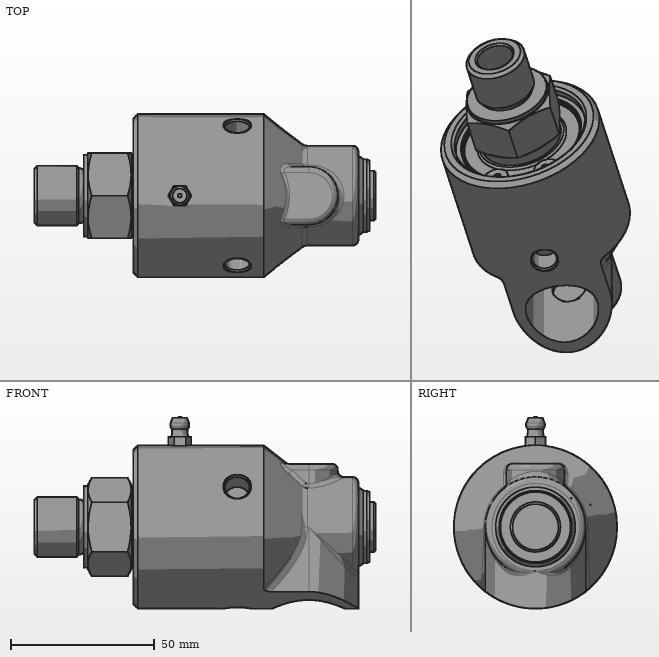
import cadquery as cq
import math

THREAD_RADIUS = 20.95 / 2
THREAD_END_X = 14.8
THREAD_CHAMFER = 1.2
RUNOUT_LENGTH = 0.8
RUNOUT_ANGLE = math.radians(45)
NECK_BLEND_RADIUS = 2.2
COLLAR_RADIUS = 28.6 / 2
COLLAR_START_X = 17.3
HEX_START_X = 18.7
HEX_END_X = 34.0
HEX_ACROSS_FLATS = 29.8
HEX_FACE_RADIUS = 14.6
HEX_CHAMFER_LENGTH = 1.4
BORE_RADIUS = 12.7 / 2
BORE_MOUTH_RADIUS = 13.89 / 2

BODY_RADIUS = 28.5
BODY_START_X = 34.5
BODY_CHAMFER = 1.7
CONE_START_X = 80.0
CONE_END_X = 94.1
TAIL_RADIUS = 17.45
CONE_SLOPE = (BODY_RADIUS - TAIL_RADIUS) / (CONE_END_X - CONE_START_X)
TAIL_END_X = 113.1
TAIL_ROUND = 2.2
CONE_BLEND_RADIUS = 3.2
EMBED_X = 71.0

PLUG_ROOT_RADIUS = 27.8 / 2
PLUG_RADIUS = 25.4 / 2
PLUG_NECK_X = 114.8
PLUG_RIM_RADIUS = 24.4 / 2
PLUG_RIM_X = 117.0
PLUG_CHAMFER_LENGTH = 1.1
TIP_RADIUS = 17.48 / 2
TIP_END_X = 119.16
TIP_CHAMFER = 0.75

RECESS_RADIUS = 23.4
RECESS_CHAMFER = 0.95
SEAL_BORE_RADIUS = 41.3 / 2
SEAL_BORE_CHAMFER = 0.4
RING_INNER_RADIUS = 21.65
RING_FRONT_X = 37.6
RING_THICKNESS = 0.8
RECESS_FLOOR_X = RING_FRONT_X + RING_THICKNESS
SEAL_FLOOR_X = RECESS_FLOOR_X + SEAL_BORE_CHAMFER
FLANGE_RADIUS = 32.1 / 2
FLANGE_FACE_RADIUS = 30.49 / 2
FLANGE_FACE_X = SEAL_FLOOR_X - (FLANGE_RADIUS - FLANGE_FACE_RADIUS)
EAR_Y = 9.1
EAR_Z = -19.25
EAR_RADIUS = 4.35
EAR_HOLE_Y = 8.55
EAR_HOLE_Z = -18.7
EAR_HOLE_RADIUS = 2.48 / 2

PORT_X = TAIL_END_X - TAIL_RADIUS
PORT_RADIUS = 25.4 / 2
PORT_FLOOR_Z = BORE_RADIUS
LUG_BLEND_RADIUS = 1.8

PAD_X = 95.8
PAD_RADIUS = 10.1
PAD_TOP_Z = 22.0
PAD_BLEND_RADIUS = 2.0

WEEP_X = 70.8
WEEP_RADIUS = 8.6 / 2
WEEP_MOUTH_RADIUS = 4.85
WEEP_FLOOR_RADIUS = 20.4
WEEP_ANGLES = (30, 150, 270)

NIPPLE_EMBED = 1.5
NIPPLE_ROOT_Z = BODY_RADIUS - NIPPLE_EMBED
NIPPLE_X = 50.8
NIPPLE_HEX_ACROSS_FLATS = 7.0
NIPPLE_HEX_TOP_Z = 31.4
NIPPLE_ROOT_RADIUS = 3.0
NIPPLE_NECK_RADIUS = 2.75
NIPPLE_NECK_TOP_Z = 34.1
NIPPLE_HEAD_RADIUS = 3.35
NIPPLE_HEAD_Z = 35.5
NIPPLE_SHOULDER_RADIUS = 3.2
NIPPLE_SHOULDER_Z = 36.4
NIPPLE_TOP_RADIUS = 2.48
NIPPLE_TOP_Z = 38.1
NIPPLE_BALL_RADIUS = 0.75
NIPPLE_BALL_TOP_Z = 38.49


def revolve_x(sketch):
    """Close a half profile and turn it about the X axis."""
    return sketch.close().revolve(360, (0, 0, 0), (1, 0, 0))


def cylinder_x(radius, start, end):
    return cq.Workplane("YZ", origin=(start, 0, 0)).circle(radius).extrude(end - start)


def u_prism(center_x, radius, start_x, low_z, high_z):
    """Upright prism with straight sides from start_x and a half-round end at center_x + radius."""
    return (
        cq.Workplane("XY", origin=(0, 0, low_z))
        .moveTo(start_x, -radius)
        .lineTo(center_x, -radius)
        .threePointArc((center_x + radius, 0), (center_x, radius))
        .lineTo(start_x, radius)
        .close()
        .extrude(high_z - low_z)
    )


def make_drum():
    return revolve_x(
        cq.Workplane("XY")
        .moveTo(BODY_START_X, 0)
        .lineTo(BODY_START_X, BODY_RADIUS - BODY_CHAMFER)
        .lineTo(BODY_START_X + BODY_CHAMFER, BODY_RADIUS)
        .lineTo(CONE_START_X, BODY_RADIUS)
        .lineTo(CONE_END_X, TAIL_RADIUS)
        .lineTo(TAIL_END_X - TAIL_ROUND, TAIL_RADIUS)
        .radiusArc((TAIL_END_X, TAIL_RADIUS - TAIL_ROUND), TAIL_ROUND)
        .lineTo(TAIL_END_X, 0)
    )


def round_near(body, points, radius):
    """Round the edges whose middles are nearest to the given points, with all tangent neighbours."""
    edges = [body.edges(cq.NearestToPointSelector(point)).val() for point in points]
    return body.newObject(edges).fillet(radius)


def add_pad(body):
    """Flat-topped pad that grows out of the cone and the tail."""
    body = body.union(u_prism(PAD_X, PAD_RADIUS, EMBED_X, 0, PAD_TOP_Z))
    body = body.faces(">Z").edges("not <X").fillet(PAD_BLEND_RADIUS)
    cone_x_at_pad_top = CONE_START_X + (BODY_RADIUS - PAD_TOP_Z) / CONE_SLOPE
    root_point = (cone_x_at_pad_top, 0, PAD_TOP_Z)
    foot_point = (PAD_X + PAD_RADIUS, 0, TAIL_RADIUS)
    return round_near(body, [root_point, foot_point], PAD_BLEND_RADIUS)


def add_lug(body):
    """Lug as wide as the tail, reaching down to the drum radius, with blended inner corners."""
    lug = u_prism(PORT_X, TAIL_RADIUS, EMBED_X, -BODY_RADIUS, 0)
    lug = lug.intersect(cylinder_x(BODY_RADIUS, EMBED_X, TAIL_END_X))
    body = body.union(lug)
    tail_half_height = TAIL_RADIUS / 2
    cone_points = []
    tail_points = []
    for side in (-1, 1):
        wall_y = side * TAIL_RADIUS
        cone_points.append((CONE_END_X, side * tail_half_height * math.sqrt(3), tail_half_height))
        cone_points.append(((CONE_START_X + CONE_END_X) / 2, wall_y, -tail_half_height))
        tail_points.append((PORT_X + tail_half_height, wall_y, -tail_half_height))
    body = round_near(body, cone_points, CONE_BLEND_RADIUS)
    return round_near(body, tail_points, LUG_BLEND_RADIUS)


def make_stem():
    runout_x = THREAD_END_X + RUNOUT_LENGTH
    runout_radius = THREAD_RADIUS - RUNOUT_LENGTH * math.tan(RUNOUT_ANGLE)
    neck_radius = runout_radius - (COLLAR_START_X - runout_x) * math.tan(RUNOUT_ANGLE / 2)
    spigot = revolve_x(
        cq.Workplane("XY")
        .moveTo(0, 0)
        .lineTo(0, THREAD_RADIUS - THREAD_CHAMFER)
        .lineTo(THREAD_CHAMFER, THREAD_RADIUS)
        .lineTo(THREAD_END_X, THREAD_RADIUS)
        .lineTo(runout_x, runout_radius)
        .radiusArc((COLLAR_START_X, neck_radius), NECK_BLEND_RADIUS)
        .lineTo(COLLAR_START_X, COLLAR_RADIUS)
        .lineTo(HEX_START_X, COLLAR_RADIUS)
        .lineTo(HEX_START_X, 0)
    )
    corner_radius = HEX_ACROSS_FLATS / math.sqrt(3)
    hexagon = (
        cq.Workplane("YZ", origin=(HEX_START_X, 0, 0))
        .polygon(6, 2 * corner_radius)
        .extrude(HEX_END_X - HEX_START_X)
        .rotate((0, 0, 0), (1, 0, 0), 90)
    )
    hexagon = hexagon.intersect(
        revolve_x(
            cq.Workplane("XY")
            .moveTo(HEX_START_X, 0)
            .lineTo(HEX_START_X, HEX_FACE_RADIUS)
            .lineTo(HEX_START_X + HEX_CHAMFER_LENGTH, corner_radius)
            .lineTo(HEX_END_X - HEX_CHAMFER_LENGTH, corner_radius)
            .lineTo(HEX_END_X, HEX_FACE_RADIUS)
            .lineTo(HEX_END_X, 0)
        )
    )
    shaft = cylinder_x(COLLAR_RADIUS, HEX_END_X, SEAL_FLOOR_X)
    flange = revolve_x(
        cq.Workplane("XY")
        .moveTo(FLANGE_FACE_X, 0)
        .lineTo(FLANGE_FACE_X, FLANGE_FACE_RADIUS)
        .lineTo(SEAL_FLOOR_X, FLANGE_RADIUS)
        .lineTo(SEAL_FLOOR_X, 0)
    )
    return spigot.union(hexagon).union(shaft).union(flange)


def make_plug():
    return revolve_x(
        cq.Workplane("XY")
        .moveTo(TAIL_END_X, 0)
        .lineTo(TAIL_END_X, PLUG_ROOT_RADIUS)
        .lineTo(PLUG_NECK_X, PLUG_RADIUS)
        .lineTo(PLUG_RIM_X - PLUG_CHAMFER_LENGTH, PLUG_RADIUS)
        .lineTo(PLUG_RIM_X, PLUG_RIM_RADIUS)
        .lineTo(PLUG_RIM_X, TIP_RADIUS)
        .lineTo(TIP_END_X - TIP_CHAMFER, TIP_RADIUS)
        .lineTo(TIP_END_X, TIP_RADIUS - TIP_CHAMFER)
        .lineTo(TIP_END_X, 0)
    )


def make_nipple():
    corner_radius = NIPPLE_HEX_ACROSS_FLATS / math.sqrt(3)
    hexagon = (
        cq.Workplane("XY", origin=(0, 0, NIPPLE_ROOT_Z))
        .polygon(6, 2 * corner_radius)
        .extrude(NIPPLE_HEX_TOP_Z - NIPPLE_ROOT_Z)
    )
    neck_mid_z = (NIPPLE_HEX_TOP_Z + NIPPLE_NECK_TOP_Z) / 2
    head = (
        cq.Workplane("XZ")
        .moveTo(0, NIPPLE_HEX_TOP_Z)
        .lineTo(NIPPLE_ROOT_RADIUS, NIPPLE_HEX_TOP_Z)
        .threePointArc((NIPPLE_NECK_RADIUS, neck_mid_z), (NIPPLE_NECK_RADIUS, NIPPLE_NECK_TOP_Z))
        .threePointArc((NIPPLE_HEAD_RADIUS, NIPPLE_HEAD_Z), (NIPPLE_SHOULDER_RADIUS, NIPPLE_SHOULDER_Z))
        .lineTo(NIPPLE_TOP_RADIUS, NIPPLE_TOP_Z)
        .lineTo(0, NIPPLE_TOP_Z)
        .close()
        .revolve(360, (0, 0, 0), (0, 1, 0))
    )
    ball = cq.Workplane("XY").sphere(NIPPLE_BALL_RADIUS)
    ball = ball.translate((0, 0, NIPPLE_BALL_TOP_Z - NIPPLE_BALL_RADIUS))
    return hexagon.union(head).union(ball).translate((NIPPLE_X, 0, 0))


def make_recess():
    """Space in front of the seal: a wide mouth for the retaining ring and a chamfered seal edge."""
    return revolve_x(
        cq.Workplane("XY")
        .moveTo(BODY_START_X, 0)
        .lineTo(BODY_START_X, RECESS_RADIUS + RECESS_CHAMFER)
        .lineTo(BODY_START_X + RECESS_CHAMFER, RECESS_RADIUS)
        .lineTo(RECESS_FLOOR_X, RECESS_RADIUS)
        .lineTo(RECESS_FLOOR_X, SEAL_BORE_RADIUS + SEAL_BORE_CHAMFER)
        .lineTo(SEAL_FLOOR_X, SEAL_BORE_RADIUS)
        .lineTo(SEAL_FLOOR_X, 0)
    )


def make_retaining_ring():
    """Open ring with two drilled ears beside the gap at the bottom."""
    ring_plane = cq.Workplane("YZ", origin=(RING_FRONT_X, 0, 0))
    ring = ring_plane.circle(RECESS_RADIUS).circle(RING_INNER_RADIUS).extrude(RING_THICKNESS)
    gap_half_width = EAR_Y - EAR_RADIUS
    gap = ring_plane.center(0, -RECESS_RADIUS).rect(2 * gap_half_width, RECESS_RADIUS)
    ring = ring.cut(gap.extrude(RING_THICKNESS))
    for side in (-1, 1):
        ear = ring_plane.center(side * EAR_Y, EAR_Z).circle(EAR_RADIUS).extrude(RING_THICKNESS)
        tail = ring_plane.center(side * EAR_Y, EAR_Z - EAR_RADIUS).rect(2 * EAR_RADIUS, 2 * EAR_RADIUS)
        ear = ear.union(tail.extrude(RING_THICKNESS))
        ear = ear.intersect(cylinder_x(RECESS_RADIUS, RING_FRONT_X, RECESS_FLOOR_X))
        hole = ring_plane.center(side * EAR_HOLE_Y, EAR_HOLE_Z).circle(EAR_HOLE_RADIUS)
        ring = ring.union(ear).cut(hole.extrude(RING_THICKNESS))
    return ring


def make_weep_hole(angle):
    """Blind radial hole with a countersunk mouth, turned about X from the +Y direction."""
    mouth_depth = WEEP_MOUTH_RADIUS - WEEP_RADIUS
    hole = (
        cq.Workplane("XY")
        .moveTo(0, WEEP_FLOOR_RADIUS)
        .lineTo(WEEP_RADIUS, WEEP_FLOOR_RADIUS)
        .lineTo(WEEP_RADIUS, BODY_RADIUS - 2 * mouth_depth)
        .lineTo(WEEP_MOUTH_RADIUS, BODY_RADIUS - mouth_depth)
        .lineTo(WEEP_MOUTH_RADIUS, BODY_RADIUS)
        .lineTo(0, BODY_RADIUS)
        .close()
        .revolve(360, (0, 0, 0), (0, 1, 0))
    )
    return hole.translate((WEEP_X, 0, 0)).rotate((0, 0, 0), (1, 0, 0), angle)


def make_port():
    port = cq.Workplane("XY", origin=(PORT_X, 0, -BODY_RADIUS)).circle(PORT_RADIUS)
    return port.extrude(BODY_RADIUS + PORT_FLOOR_Z)


def make_bore():
    """Passage through the stem, running past the side port to a flat end."""
    mouth_depth = BORE_MOUTH_RADIUS - BORE_RADIUS
    bore_end_x = PORT_X + PORT_RADIUS
    return revolve_x(
        cq.Workplane("XY")
        .lineTo(0, BORE_MOUTH_RADIUS)
        .lineTo(mouth_depth, BORE_RADIUS)
        .lineTo(bore_end_x, BORE_RADIUS)
        .lineTo(bore_end_x, 0)
    )


body_shape = add_lug(add_pad(make_drum()))
result = body_shape.cut(make_recess())
result = result.union(make_retaining_ring()).union(make_stem()).union(make_plug()).union(make_nipple())
for weep_angle in WEEP_ANGLES:
    result = result.cut(make_weep_hole(weep_angle))
result = result.cut(make_port()).cut(make_bore())